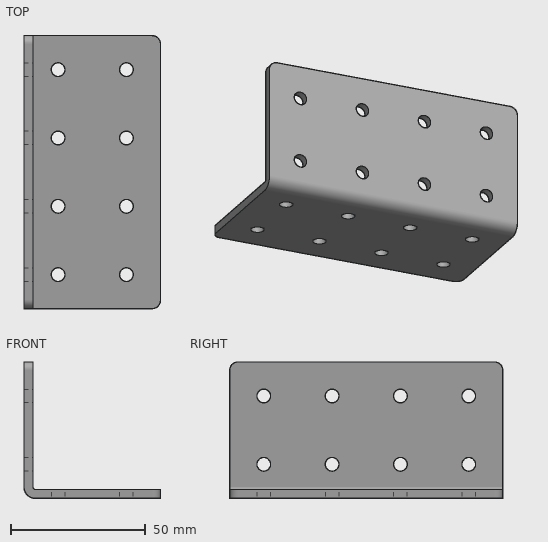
import cadquery as cq

PITCH = 25.4
ROWS = 2
COLUMNS = 4
THICKNESS = 3.416
INNER_BEND_RADIUS = 0.762
CORNER_RADIUS = 3.175
HOLE_DIAMETER = 5.0

LEG = ROWS * PITCH
LENGTH = COLUMNS * PITCH
OUTER_BEND_RADIUS = INNER_BEND_RADIUS + THICKNESS


def bent_sheet():
    """L-shaped sheet centred along Y, its bend beside the Y axis."""
    profile = (
        cq.Workplane("XZ")
        .polyline([
            (0, 0),
            (LEG, 0),
            (LEG, THICKNESS),
            (THICKNESS, THICKNESS),
            (THICKNESS, LEG),
            (0, LEG),
        ])
        .close()
    )
    sheet = profile.extrude(LENGTH / 2, both=True)
    inner_edge = cq.selectors.NearestToPointSelector((THICKNESS, 0, THICKNESS))
    outer_edge = cq.selectors.NearestToPointSelector((0, 0, 0))
    sheet = sheet.edges("|Y").edges(inner_edge).fillet(INNER_BEND_RADIUS)
    return sheet.edges("|Y").edges(outer_edge).fillet(OUTER_BEND_RADIUS)


def round_free_corners(sheet):
    """Round the two outer corners of the floor leg and of the wall leg."""
    sheet = sheet.faces(">X").edges("|Z").fillet(CORNER_RADIUS)
    return sheet.faces(">Z").edges("|X").fillet(CORNER_RADIUS)


def hole_pins(plane, centres):
    """Cylinders through one leg, rising from the leg's outer face."""
    return (
        cq.Workplane(plane)
        .pushPoints(centres)
        .circle(HOLE_DIAMETER / 2)
        .extrude(THICKNESS)
    )


across = [(row + 0.5) * PITCH for row in range(ROWS)]
along = [(column + 0.5) * PITCH - LENGTH / 2 for column in range(COLUMNS)]

floor_holes = hole_pins("XY", [(x, y) for x in across for y in along])
wall_holes = hole_pins("YZ", [(y, z) for z in across for y in along])

result = round_free_corners(bent_sheet()).cut(floor_holes).cut(wall_holes)